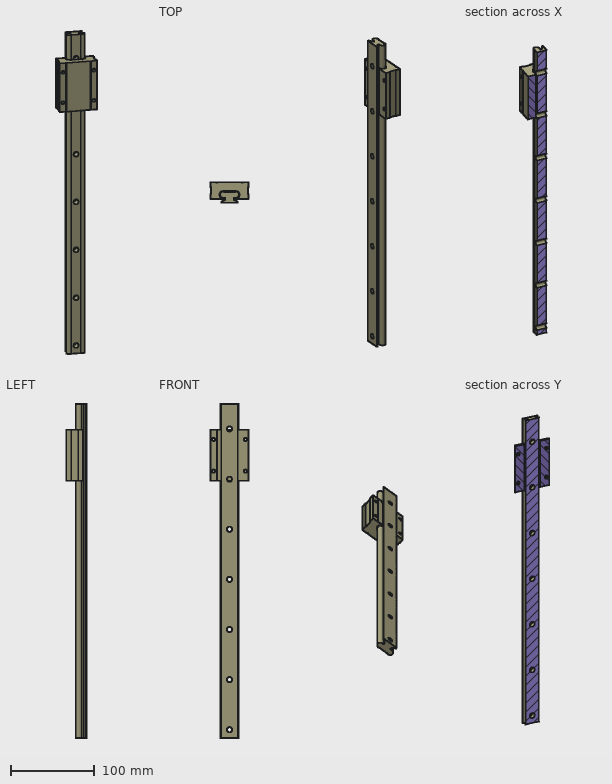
import cadquery as cq

OVERALL_DEPTH = 25.0

RAIL_LENGTH = 400
RAIL_BOTTOM_Z = -RAIL_LENGTH / 2
SHAFT_RADIUS = 3.7
SHAFT_X = 7.5
SHAFT_Y = -2.65
WEB_BOTTOM_Y = SHAFT_Y - SHAFT_RADIUS
WEB_TOP_Y = 0.6
NECK_HALF_WIDTH = 5.0
NECK_BOTTOM_Y = -8.5
FLARE_HALF_WIDTH = 8.5
FOOT_HALF_WIDTH = 10.0
FOOT_BOTTOM_Y = -OVERALL_DEPTH / 2
FOOT_TOP_Y = FOOT_BOTTOM_Y + 2.0
FOOT_EDGE_Y = FOOT_BOTTOM_Y + 1.4
RAIL_HOLE_DIAMETER = 6.0
RAIL_HOLE_COUNT = 7
RAIL_HOLE_PITCH = 60
FIRST_RAIL_HOLE_Z = RAIL_BOTTOM_Z + 10.0

CARRIAGE_HALF_WIDTH = 46.0 / 2
CARRIAGE_HEIGHT = 20.5
CARRIAGE_TOP_Y = OVERALL_DEPTH / 2
CARRIAGE_BOTTOM_Y = CARRIAGE_TOP_Y - CARRIAGE_HEIGHT
CARRIAGE_LENGTH = 61.0
CARRIAGE_BOTTOM_Z = 108.0
CARRIAGE_MIDDLE_Z = CARRIAGE_BOTTOM_Z + CARRIAGE_LENGTH / 2
EDGE_CHAMFER = 0.5
SIDE_RECESS_DEPTH = 1.0
SIDE_RECESS_TOP_Y = 6.5
SIDE_RECESS_BOTTOM_Y = -1.8
SLOT_HALF_WIDTH = 6.5
TOP_GROOVE_WIDTH = 1.35
TOP_GROOVE_X = 14.5 + TOP_GROOVE_WIDTH / 2
TOP_GROOVE_DEPTH = 0.5
MARK_GROOVE_X = -TOP_GROOVE_X
MARK_GROOVE_WIDTH = 0.5
MARK_GROOVE_DEPTH = 0.2
MOUNT_HOLE_DIAMETER = 3.5
MOUNT_HOLE_PITCH = 38.0

LINER_THICKNESS = 0.7
BORE_RADIUS = SHAFT_RADIUS + LINER_THICKNESS

SIDES = (-1, 1)
SHAFT_CENTERS = [(side * SHAFT_X, SHAFT_Y) for side in SIDES]


def bar(left, right, bottom, top, start_z, length):
    """Rectangular bar along Z between the given X and Y limits."""
    middle = ((left + right) / 2, (bottom + top) / 2, start_z)
    return cq.Workplane("XY", origin=middle).rect(right - left, top - bottom).extrude(length)


def rods(centers, radius, start_z, length):
    """Round rods along Z."""
    return cq.Workplane("XY", origin=(0, 0, start_z)).pushPoints(centers).circle(radius).extrude(length)


def drill(places, diameter):
    """Round cutters along Y, at (x, z) places, that pass through the whole depth."""
    start = cq.Workplane("XZ", origin=(0, CARRIAGE_TOP_Y, 0))
    return start.pushPoints(places).circle(diameter / 2).extrude(OVERALL_DEPTH)


def mirrored_outline(right_half, start_z, length):
    """Bar along Z whose outline is the given right half and its mirror image."""
    left_half = [(-x, y) for x, y in reversed(right_half)]
    outline = cq.Workplane("XY", origin=(0, 0, start_z)).polyline(right_half + left_half).close()
    return outline.extrude(length)


def make_rail():
    neck_and_foot = mirrored_outline(
        [
            (FOOT_HALF_WIDTH, FOOT_BOTTOM_Y),
            (FOOT_HALF_WIDTH, FOOT_EDGE_Y),
            (FLARE_HALF_WIDTH, FOOT_TOP_Y),
            (NECK_HALF_WIDTH, NECK_BOTTOM_Y),
            (NECK_HALF_WIDTH, WEB_TOP_Y),
        ],
        RAIL_BOTTOM_Z,
        RAIL_LENGTH,
    )
    web = bar(-SHAFT_X, SHAFT_X, WEB_BOTTOM_Y, WEB_TOP_Y, RAIL_BOTTOM_Z, RAIL_LENGTH)
    shafts = rods(SHAFT_CENTERS, SHAFT_RADIUS, RAIL_BOTTOM_Z, RAIL_LENGTH)
    hole_places = [(0, FIRST_RAIL_HOLE_Z + i * RAIL_HOLE_PITCH) for i in range(RAIL_HOLE_COUNT)]
    return neck_and_foot.union(web).union(shafts).cut(drill(hole_places, RAIL_HOLE_DIAMETER))


def make_carriage_block():
    """Block with a shallow recess in each side and chamfered lower edges."""
    recess_x = CARRIAGE_HALF_WIDTH - SIDE_RECESS_DEPTH
    return mirrored_outline(
        [
            (CARRIAGE_HALF_WIDTH - EDGE_CHAMFER, CARRIAGE_BOTTOM_Y),
            (CARRIAGE_HALF_WIDTH, CARRIAGE_BOTTOM_Y + EDGE_CHAMFER),
            (CARRIAGE_HALF_WIDTH, SIDE_RECESS_BOTTOM_Y),
            (recess_x, SIDE_RECESS_BOTTOM_Y),
            (recess_x, SIDE_RECESS_TOP_Y),
            (CARRIAGE_HALF_WIDTH, SIDE_RECESS_TOP_Y),
            (CARRIAGE_HALF_WIDTH, CARRIAGE_TOP_Y),
        ],
        CARRIAGE_BOTTOM_Z,
        CARRIAGE_LENGTH,
    )


def channel_cutter():
    """Two bores, the space between them and the slot for the neck."""
    span = (CARRIAGE_BOTTOM_Z, CARRIAGE_LENGTH)
    bores = rods(SHAFT_CENTERS, BORE_RADIUS, *span)
    between = bar(-SHAFT_X, SHAFT_X, SHAFT_Y, SHAFT_Y + BORE_RADIUS, *span)
    slot = bar(-SLOT_HALF_WIDTH, SLOT_HALF_WIDTH, CARRIAGE_BOTTOM_Y, SHAFT_Y, *span)
    return bores.union(between).union(slot)


def groove_cutter(x, width, bottom, top):
    return bar(x - width / 2, x + width / 2, bottom, top, CARRIAGE_BOTTOM_Z, CARRIAGE_LENGTH)


def make_carriage():
    carriage = make_carriage_block().cut(channel_cutter())
    for side in SIDES:
        groove_floor = CARRIAGE_TOP_Y - TOP_GROOVE_DEPTH
        carriage = carriage.cut(
            groove_cutter(side * TOP_GROOVE_X, TOP_GROOVE_WIDTH, groove_floor, CARRIAGE_TOP_Y)
        )
    mark_floor = CARRIAGE_BOTTOM_Y + MARK_GROOVE_DEPTH
    carriage = carriage.cut(
        groove_cutter(MARK_GROOVE_X, MARK_GROOVE_WIDTH, CARRIAGE_BOTTOM_Y, mark_floor)
    )
    offset = MOUNT_HOLE_PITCH / 2
    hole_places = [(i * offset, CARRIAGE_MIDDLE_Z + j * offset) for i in SIDES for j in SIDES]
    return carriage.cut(drill(hole_places, MOUNT_HOLE_DIAMETER))


def make_liner(side):
    """Half sleeve around the outer side of one shaft, open towards the web and neck."""
    span = (CARRIAGE_BOTTOM_Z, CARRIAGE_LENGTH)
    center = [(side * SHAFT_X, SHAFT_Y)]
    sleeve = rods(center, BORE_RADIUS, *span).cut(rods(center, SHAFT_RADIUS, *span))
    opening = bar(-SHAFT_X, SHAFT_X, SHAFT_Y - BORE_RADIUS, SHAFT_Y + BORE_RADIUS, *span)
    return sleeve.cut(opening)


rail = make_rail()
carriage = make_carriage()
liners = [make_liner(side) for side in SIDES]

result = cq.Compound.makeCompound([rail.val(), carriage.val(), *[liner.val() for liner in liners]])